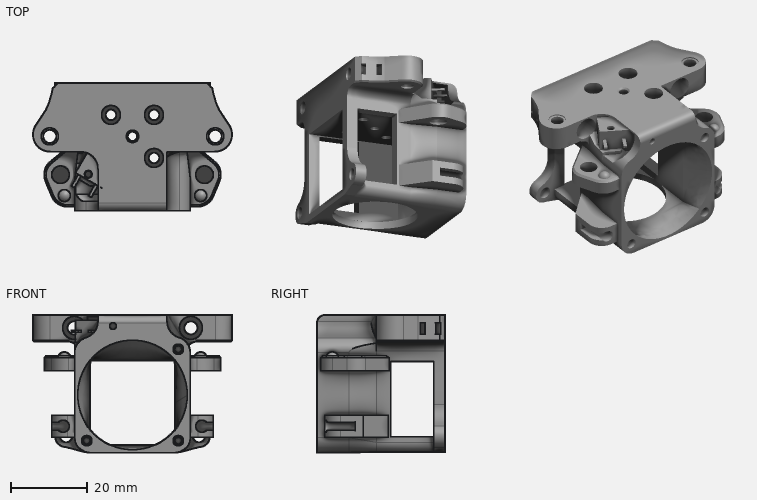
import cadquery as cq
import math

TOTAL_HEIGHT = 36.25
TOTAL_DEPTH = 33.7
CLEARANCE = 0.5

FACE_HALF = 15.2
REAR_HALF = 14.35
FACE_HEIGHT = 30.45
CORNER_R = 4.05
SCOOP_R = 4.55
TONGUE_HALF = 9.05
TOP_FRONT_R = 2.1
TAPER_START = 8.4
PLATE_FRONT = 15.55
REAR_BOTTOM = 0.2
REAR_CORNER_R = 2.6

FAN_BORE_R = 14.4
FAN_CENTER_Z = FACE_HEIGHT / 2
DUCT_WIDTH = 22.2
DUCT_BOTTOM = 2.1
DUCT_TOP = 24.25
WINDOW_FRONT = 19.45
FRAME_FRONT = 30.7
WINDOW_BOTTOM = 4.25
WINDOW_TOP = 23.95
FLOOR_HOLE_R = 11.2
FLOOR_HOLE_Y = 19.6

PLATE_BOTTOM = 29.15
PLATE_EDGE_CHAMFER = 0.4
BULB_R = 4.5
BULB_X = 26.2 - BULB_R
BULB_Y = PLATE_FRONT + BULB_R
PLATE_BLEND_R = 2.35

FAN_SCREW_PITCH = 24.05
FAN_SCREW_MOUTH_D = 2.7
FAN_SCREW_END_D = 1.8
FAN_SCREW_DEPTH = 3.15

EAR_BOTTOM = 21.5
EAR_TOP = 25.45
EAR_CHAMFER = 0.5
EAR_BACK = 18.95
EAR_HOLE_D = 4.6
EAR_HOLE_X = 18.9
EAR_HOLE_Y = 9.55
EAR_TIP_R = 4.35
EAR_FRONT = 1.05
EAR_FRONT_R = 4.75
EAR_FRONT_X = 16.9
BALL_D = 3.4
BALL_X = 17.9
BALL_Y = 4.05
BALL_Z = 24.8

CLIP_BOTTOM = 4.1
CLIP_TOP = 9.9
CLIP_OUTER_X = 21.25
CLIP_FRONT = 2.05
CLIP_CORNER_R = 4.1
CLIP_SLANT_Y = 12.2
CLIP_BACK = 18.8
CLIP_BORE_D = 3.2
CLIP_BORE_X = 18.2
CLIP_SLOT_HEIGHT = 2.2
CLIP_BORE_END = 10.05
WALL_ROOT_X = 14.1

LUG_X = 17.45
LUG_Z = 4.4
LUG_R = 2.95
LUG_HOLE_D = 3.2
LUG_BLEND_R = 5.95
LUG_WEB_X = 12.7

SWITCH_CORNER = (-15.0, 10.0)
SWITCH_ANGLE = -30.0
SWITCH_LENGTH = 12.8
SWITCH_DEPTH = 6.5
SWITCH_BOTTOM = 29.0
SWITCH_TOP = 34.9
SWITCH_HOLE_D = 2.0
SWITCH_HOLE_U = 3.1
SWITCH_HOLE_V = 1.35
PIN_COUNT = 3
PIN_FIRST_U = 1.25
PIN_PITCH = 5.15
PIN_WIDTH = 0.9
PIN_THICKNESS = 0.5
PIN_LENGTH = 3.5
PIN_BOTTOM = 31.7

POCKET_FRONT = 2.55
POCKET_FLOOR = 28.0
POCKET_RAMP = 1.9
CAVITY_TOP = 35.75
REAR_RISE_START = 12.55
REAR_RISE_TOP = 30.9
SHELF_SIDE = 0.4
SHELF_FRONT = 1.05
SHELF_LENGTH = 5.85
SHELF_PILOT_D = 1.75
SHELF_PILOT_DEPTH = 3.15


def polar(center, radius, degrees):
    angle = math.radians(degrees)
    return (center[0] + radius * math.cos(angle), center[1] + radius * math.sin(angle))


def box(x_range, y_range, z_range):
    size = [high - low for low, high in (x_range, y_range, z_range)]
    return cq.Workplane("XY").box(*size, centered=False).translate((x_range[0], y_range[0], z_range[0]))


def upright_cylinder(x, y, diameter, z_low, z_high):
    base = cq.Workplane("XY", origin=(x, y, z_low))
    return base.circle(diameter / 2).extrude(z_high - z_low)


def level_cylinder(x, z, diameter, y_low, y_high):
    base = cq.Workplane("XZ", origin=(x, y_low, z))
    return base.circle(diameter / 2).extrude(y_low - y_high)


def along_y(outline, y_low, y_high):
    """Extrude an XZ outline from y_low to y_high."""
    return outline.extrude(y_low - y_high).translate((0, y_low, 0))


def both_sides(right_side):
    return right_side.union(right_side.mirror("YZ"))


def in_switch_frame(shape):
    """Place a shape drawn in (u, v, Z) where the switch sits."""
    turned = shape.rotate((0, 0, 0), (0, 0, 1), SWITCH_ANGLE)
    return turned.translate((SWITCH_CORNER[0], SWITCH_CORNER[1], 0))


def tube_section(half_width, bottom, corner_r, y):
    """Square-topped section whose bottom corners are rounded."""
    low_z = bottom + corner_r
    corner_x = half_width - corner_r
    return (
        cq.Workplane("XZ", origin=(0, y, 0))
        .moveTo(-half_width, TOTAL_HEIGHT)
        .lineTo(-half_width, low_z)
        .threePointArc(polar((-corner_x, low_z), corner_r, 225), (-corner_x, bottom))
        .lineTo(corner_x, bottom)
        .threePointArc(polar((corner_x, low_z), corner_r, 315), (half_width, low_z))
        .lineTo(half_width, TOTAL_HEIGHT)
        .close()
    )


def make_tube():
    """Straight front block, a slight taper, then the narrower rear block."""
    front = tube_section(FACE_HALF, 0, CORNER_R, 0).extrude(-TAPER_START)
    front = front.edges("|X and <Y and >Z").fillet(TOP_FRONT_R)
    wide_wire = tube_section(FACE_HALF, 0, CORNER_R, TAPER_START).val()
    narrow_wire = tube_section(REAR_HALF, REAR_BOTTOM, REAR_CORNER_R, PLATE_FRONT).val()
    taper = cq.Workplane(cq.Solid.makeLoft([wide_wire, narrow_wire], True))
    rear = tube_section(REAR_HALF, REAR_BOTTOM, REAR_CORNER_R, PLATE_FRONT).extrude(PLATE_FRONT - TOTAL_DEPTH)
    left_scoop = make_shoulder_scoop(TAPER_START).mirror("YZ")
    tube = front.union(taper).union(rear)
    return tube.cut(make_shoulder_scoop(PLATE_FRONT)).cut(left_scoop).union(make_scoop_end())


def make_scoop_end():
    """Concave blend in the corner of tongue and plate, fading out towards the top."""
    low_size = SCOOP_R
    top_size = 0.25

    def corner_wire(size, z):
        center = (TONGUE_HALF + size, PLATE_FRONT - size)
        outline = (
            cq.Workplane("XY", origin=(0, 0, z))
            .moveTo(TONGUE_HALF, PLATE_FRONT)
            .lineTo(TONGUE_HALF, center[1])
            .threePointArc(polar(center, size, 135), (center[0], PLATE_FRONT))
            .close()
        )
        return outline.val()

    wires = [corner_wire(low_size, PLATE_BOTTOM), corner_wire(top_size, TOTAL_HEIGHT)]
    return cq.Workplane(cq.Solid.makeLoft(wires, True))


def make_shoulder_scoop(y_end):
    """Air above a shoulder: a rounded face corner flowing into a hollow beside the tongue."""
    corner = (FACE_HALF - CORNER_R, FACE_HEIGHT - CORNER_R)
    scoop_x = TONGUE_HALF + SCOOP_R
    offset_x = scoop_x - corner[0]
    scoop = (scoop_x, corner[1] + math.sqrt((CORNER_R + SCOOP_R) ** 2 - offset_x**2))
    join_angle = math.degrees(math.acos(offset_x / (CORNER_R + SCOOP_R)))
    join = polar(corner, CORNER_R, join_angle)
    outside = FACE_HALF + CLEARANCE
    outline = (
        cq.Workplane("XZ")
        .moveTo(TONGUE_HALF, TOTAL_HEIGHT)
        .lineTo(TONGUE_HALF, scoop[1])
        .threePointArc(polar(scoop, SCOOP_R, (180 + 180 + join_angle) / 2), join)
        .threePointArc(polar(corner, CORNER_R, join_angle / 2), (FACE_HALF, corner[1]))
        .lineTo(outside, corner[1])
        .lineTo(outside, TOTAL_HEIGHT)
        .close()
    )
    return along_y(outline, 0, y_end)


def make_plate():
    bulb = (BULB_X, BULB_Y)
    tangent_angle = 36
    waist = (22.8, 26.55)
    waist_middle = (21.7, 29.3)
    shoulder = (21.0, 32.2)
    back_x = 19.55
    half = (
        cq.Workplane("XY")
        .moveTo(0, PLATE_FRONT)
        .lineTo(BULB_X, PLATE_FRONT)
        .threePointArc(polar(bulb, BULB_R, (tangent_angle - 90) / 2), polar(bulb, BULB_R, tangent_angle))
        .lineTo(*waist)
        .threePointArc(waist_middle, shoulder)
        .lineTo(back_x, TOTAL_DEPTH)
        .lineTo(0, TOTAL_DEPTH)
        .close()
        .extrude(TOTAL_HEIGHT - PLATE_BOTTOM)
        .translate((0, 0, PLATE_BOTTOM))
    )
    plate = both_sides(half).clean()
    return plate.faces("<Z").edges("not >Y").chamfer(PLATE_EDGE_CHAMFER)


def make_plate_blend():
    """Concave fillet between the plate's underside and a side of the tube."""
    outer_x = REAR_HALF + PLATE_BLEND_R
    low_z = PLATE_BOTTOM - PLATE_BLEND_R
    root_x = TONGUE_HALF
    outline = (
        cq.Workplane("XZ")
        .moveTo(root_x, low_z)
        .lineTo(REAR_HALF, low_z)
        .threePointArc(polar((outer_x, low_z), PLATE_BLEND_R, 135), (outer_x, PLATE_BOTTOM))
        .lineTo(outer_x, PLATE_BOTTOM + PLATE_EDGE_CHAMFER)
        .lineTo(root_x, PLATE_BOTTOM + PLATE_EDGE_CHAMFER)
        .close()
    )
    return along_y(outline, PLATE_FRONT, TOTAL_DEPTH)


def make_plate_holes():
    """Screw holes from above, long bores along Y and cable-tie channels at the ends."""
    pitch_half = 5.65
    middle_y = 19.6
    head_d = 5.0
    shank_d = 2.7
    head_depth = 6.0
    head_floor = TOTAL_HEIGHT - head_depth
    middle_d = 2.4
    middle_chamfer = 0.4
    end_x = 21.75
    end_d = 3.4
    end_rim_d = 4.5
    end_rim_depth = 0.3

    cutter = upright_cylinder(0, middle_y, middle_d, DUCT_BOTTOM, TOTAL_HEIGHT)
    cone = cq.Solid.makeCone(
        middle_d / 2, middle_d / 2 + middle_chamfer, middle_chamfer,
        pnt=cq.Vector(0, middle_y, TOTAL_HEIGHT - middle_chamfer),
    )
    cutter = cutter.union(cq.Workplane(cone))
    for x_side, y_side in ((-1, 1), (1, 1), (1, -1)):
        x = x_side * pitch_half
        y = middle_y + y_side * pitch_half
        cutter = cutter.union(upright_cylinder(x, y, head_d, head_floor, TOTAL_HEIGHT))
        cutter = cutter.union(upright_cylinder(x, y, shank_d, DUCT_BOTTOM, TOTAL_HEIGHT))
    end = upright_cylinder(end_x, middle_y, end_d, PLATE_BOTTOM, TOTAL_HEIGHT)
    end = end.union(upright_cylinder(end_x, middle_y, end_rim_d, TOTAL_HEIGHT - end_rim_depth, TOTAL_HEIGHT))
    side_cutters = end.union(make_long_bore()).union(make_tie_channel())
    return cutter.union(both_sides(side_cutters))


def make_long_bore():
    x = 15.35
    z = 32.85
    wide_d = 6.0
    narrow_d = 3.4
    wide_end = 24.6
    lead_in = 0.35
    start = PLATE_FRONT - lead_in
    wide = level_cylinder(x, z, wide_d, start, wide_end)
    return wide.union(level_cylinder(x, z, narrow_d, start, TOTAL_DEPTH))


def make_tie_channel():
    """Curved channel that leaves and re-enters the plate's end."""
    center = (21.45, 29.8)
    outer_r = 2.8
    inner_r = 1.4
    low_z = 31.15
    high_z = 34.15
    ring = upright_cylinder(*center, 2 * outer_r, low_z, high_z)
    return ring.cut(upright_cylinder(*center, 2 * inner_r, low_z, high_z))


def make_duct():
    """Round fan bore narrowing to a square passage, with side windows and a floor hole."""
    half = DUCT_WIDTH / 2
    duct_middle_z = (DUCT_BOTTOM + DUCT_TOP) / 2
    duct_height = DUCT_TOP - DUCT_BOTTOM
    funnel = (
        cq.Workplane("XZ", origin=(0, 0, FAN_CENTER_Z))
        .circle(FAN_BORE_R)
        .workplane(offset=-TAPER_START)
        .center(0, duct_middle_z - FAN_CENTER_Z)
        .rect(DUCT_WIDTH, duct_height)
        .loft()
    )
    passage = box((-half, half), (TAPER_START, TOTAL_DEPTH), (DUCT_BOTTOM, DUCT_TOP))
    windows = box((-FACE_HALF, FACE_HALF), (WINDOW_FRONT, FRAME_FRONT), (WINDOW_BOTTOM, WINDOW_TOP))
    floor_hole = upright_cylinder(0, FLOOR_HOLE_Y, 2 * FLOOR_HOLE_R, 0, DUCT_BOTTOM)
    return funnel.union(passage).union(windows).union(floor_hole)


def make_fan_screw_holes():
    half = FAN_SCREW_PITCH / 2
    holes = cq.Workplane("XY")
    for x_side, z_side in ((-1, -1), (1, -1), (1, 1)):
        mouth = cq.Vector(x_side * half, 0, FAN_CENTER_Z + z_side * half)
        hole = cq.Solid.makeCone(
            FAN_SCREW_MOUTH_D / 2, FAN_SCREW_END_D / 2, FAN_SCREW_DEPTH, pnt=mouth, dir=cq.Vector(0, 1, 0)
        )
        holes = holes.add(hole)
    return holes.combine()


def make_ear():
    tip = (EAR_HOLE_X, EAR_HOLE_Y)
    back_angle = 48
    front_angle = -22.6
    front = (EAR_FRONT_X, EAR_FRONT + EAR_FRONT_R)
    outline = (
        cq.Workplane("XY", origin=(0, 0, EAR_BOTTOM))
        .moveTo(WALL_ROOT_X, EAR_FRONT)
        .lineTo(EAR_FRONT_X, EAR_FRONT)
        .threePointArc(
            polar(front, EAR_FRONT_R, (front_angle - 90) / 2), polar(front, EAR_FRONT_R, front_angle)
        )
        .lineTo(*polar(tip, EAR_TIP_R, front_angle))
        .threePointArc(
            polar(tip, EAR_TIP_R, (front_angle + back_angle) / 2), polar(tip, EAR_TIP_R, back_angle)
        )
        .lineTo(REAR_HALF, EAR_BACK)
        .lineTo(WALL_ROOT_X, EAR_BACK)
        .close()
    )
    ear = outline.extrude(EAR_TOP - EAR_BOTTOM)
    ear = ear.faces(">Z").edges("not <X").chamfer(EAR_CHAMFER)
    return ear.cut(upright_cylinder(*tip, EAR_HOLE_D, EAR_BOTTOM, EAR_TOP))


def make_clip():
    corner = (CLIP_OUTER_X - CLIP_CORNER_R, CLIP_FRONT + CLIP_CORNER_R)
    outline = (
        cq.Workplane("XY", origin=(0, 0, CLIP_BOTTOM))
        .moveTo(WALL_ROOT_X, CLIP_FRONT)
        .lineTo(corner[0], CLIP_FRONT)
        .threePointArc(polar(corner, CLIP_CORNER_R, -45), (CLIP_OUTER_X, corner[1]))
        .lineTo(CLIP_OUTER_X, CLIP_SLANT_Y)
        .lineTo(REAR_HALF, CLIP_BACK)
        .lineTo(WALL_ROOT_X, CLIP_BACK)
        .close()
    )
    middle_z = (CLIP_BOTTOM + CLIP_TOP) / 2
    slot_z = (middle_z - CLIP_SLOT_HEIGHT / 2, middle_z + CLIP_SLOT_HEIGHT / 2)
    bore = level_cylinder(CLIP_BORE_X, middle_z, CLIP_BORE_D, CLIP_FRONT, CLIP_BORE_END)
    slot = box((CLIP_BORE_X, CLIP_OUTER_X), (CLIP_FRONT, CLIP_BORE_END), slot_z)
    return outline.extrude(CLIP_TOP - CLIP_BOTTOM).cut(bore).cut(slot)


def make_lug():
    """Rear lug, joined to the frame's leg by a tangent arc."""
    lug = (LUG_X, LUG_Z)
    blend_x = REAR_HALF + LUG_BLEND_R
    rise = math.sqrt((LUG_R + LUG_BLEND_R) ** 2 - (blend_x - LUG_X) ** 2)
    blend = (blend_x, LUG_Z + rise)
    join_angle = math.degrees(math.atan2(rise, blend_x - LUG_X))
    root_x = DUCT_WIDTH / 2
    outline = (
        cq.Workplane("XZ")
        .moveTo(LUG_WEB_X, REAR_BOTTOM)
        .lineTo(LUG_X, LUG_Z - LUG_R)
        .threePointArc(polar(lug, LUG_R, (join_angle - 90) / 2), polar(lug, LUG_R, join_angle))
        .threePointArc(polar(blend, LUG_BLEND_R, (180 + 180 + join_angle) / 2), (REAR_HALF, blend[1]))
        .lineTo(root_x, blend[1])
        .lineTo(root_x, REAR_BOTTOM)
        .close()
    )
    slab = along_y(outline, FRAME_FRONT, TOTAL_DEPTH)
    return slab.cut(level_cylinder(*lug, LUG_HOLE_D, FRAME_FRONT, TOTAL_DEPTH))


def make_switch_pocket():
    """Pocket in the -X shoulder that runs on under the tongue, with a shelf for the switch."""
    outside = -FACE_HALF - CLEARANCE
    arc_center = (-TONGUE_HALF - SCOOP_R, PLATE_FRONT - SCOOP_R)
    plan = (
        cq.Workplane("XY", origin=(0, 0, POCKET_FLOOR))
        .moveTo(outside, POCKET_FRONT)
        .lineTo(-TONGUE_HALF, POCKET_FRONT)
        .lineTo(-TONGUE_HALF, arc_center[1])
        .threePointArc(polar(arc_center, SCOOP_R, 45), (arc_center[0], PLATE_FRONT))
        .lineTo(outside, PLATE_FRONT)
        .close()
    )
    opening = plan.extrude(TOTAL_HEIGHT - POCKET_FLOOR)
    ramp = (
        cq.Workplane("YZ", origin=(outside, 0, 0))
        .polyline([
            (POCKET_FRONT, POCKET_FLOOR),
            (POCKET_FRONT + POCKET_RAMP, POCKET_FLOOR),
            (POCKET_FRONT, POCKET_FLOOR + POCKET_RAMP),
        ])
        .close()
        .extrude(-outside)
    )
    shelf = box((-SHELF_SIDE, SHELF_LENGTH), (-SHELF_FRONT, SWITCH_DEPTH), (POCKET_FLOOR, SWITCH_BOTTOM))
    shelf = shelf.edges("|Z and >X and <Y").fillet(SHELF_FRONT)
    cavity = box((0, SWITCH_LENGTH), (0, SWITCH_DEPTH), (SWITCH_BOTTOM, CAVITY_TOP))
    pilot = upright_cylinder(
        SWITCH_HOLE_U, SWITCH_HOLE_V, SHELF_PILOT_D, SWITCH_BOTTOM - SHELF_PILOT_DEPTH, SWITCH_BOTTOM
    )
    pin_room = box((0, SWITCH_LENGTH), (-PIN_LENGTH, 0), (POCKET_FLOOR, CAVITY_TOP))
    behind_wall = box((outside, 0), (POCKET_FRONT, PLATE_FRONT), (POCKET_FLOOR, CAVITY_TOP))
    opening = opening.union(in_switch_frame(pin_room).intersect(behind_wall))
    rear_rise = (
        cq.Workplane("YZ", origin=(outside, 0, 0))
        .polyline([
            (TAPER_START, POCKET_FLOOR), (PLATE_FRONT, POCKET_FLOOR),
            (PLATE_FRONT, REAR_RISE_TOP), (REAR_RISE_START, SWITCH_BOTTOM), (TAPER_START, SWITCH_BOTTOM),
        ])
        .close()
        .extrude(-outside)
    )
    pocket = opening.cut(ramp).cut(rear_rise).cut(in_switch_frame(shelf))
    return pocket.union(in_switch_frame(cavity)).union(in_switch_frame(pilot))


def make_face_hole():
    x = -5.15
    z = 33.3
    diameter = 1.8
    depth = 2.1
    return level_cylinder(x, z, diameter, 0, depth)


def make_ball(side):
    return cq.Workplane("XY").sphere(BALL_D / 2).translate((side * BALL_X, BALL_Y, BALL_Z))


def make_switch():
    case = box((0, SWITCH_LENGTH), (0, SWITCH_DEPTH), (SWITCH_BOTTOM, SWITCH_TOP))
    case = case.cut(upright_cylinder(SWITCH_HOLE_U, SWITCH_HOLE_V, SWITCH_HOLE_D, SWITCH_BOTTOM, SWITCH_TOP))
    for index in range(PIN_COUNT):
        u = PIN_FIRST_U + index * PIN_PITCH
        pin = box(
            (u - PIN_WIDTH / 2, u + PIN_WIDTH / 2), (-PIN_LENGTH, 0), (PIN_BOTTOM, PIN_BOTTOM + PIN_THICKNESS)
        )
        case = case.union(pin)
    return in_switch_frame(case)


def make_housing(inserts):
    housing = make_tube().union(make_plate()).union(both_sides(make_plate_blend()))
    housing = housing.union(both_sides(make_lug()))
    housing = housing.cut(make_duct()).cut(make_plate_holes())
    housing = housing.union(both_sides(make_ear())).union(both_sides(make_clip()))
    housing = housing.cut(make_fan_screw_holes()).cut(make_face_hole()).cut(make_switch_pocket())
    for insert in inserts:
        housing = housing.cut(insert)
    return housing


balls = [make_ball(side) for side in (-1, 1)]
switch = make_switch()
housing = make_housing([switch, *balls])

result = cq.Compound.makeCompound([
    housing.solids().val(),
    switch.solids().val(),
    *[ball.val() for ball in balls],
])